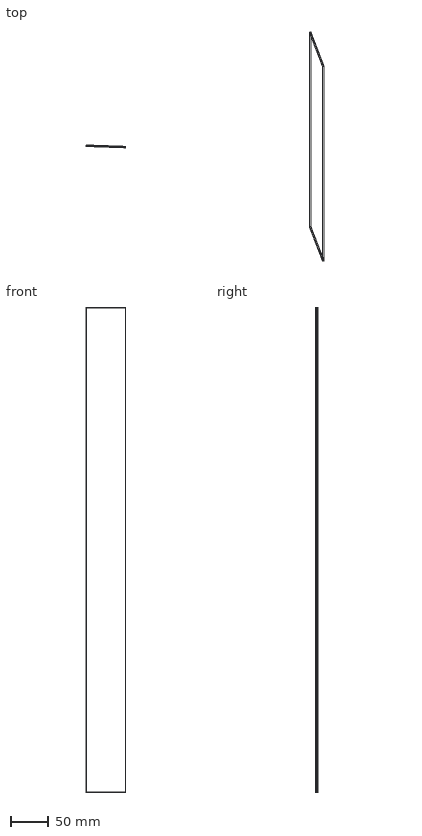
import cadquery as cq

length = 654.0
width = 53.5
depth = 3.8

thickness = 2.0
end_bevel = 0.5

half_width = width / 2
half_depth = depth / 2

section = [
    (-half_width, half_depth - thickness),
    (half_width, -half_depth),
    (half_width, thickness - half_depth),
    (-half_width + end_bevel, half_depth),
]

result = (
    cq.Workplane("XY")
    .workplane(offset=-length / 2)
    .polyline(section)
    .close()
    .extrude(length)
)